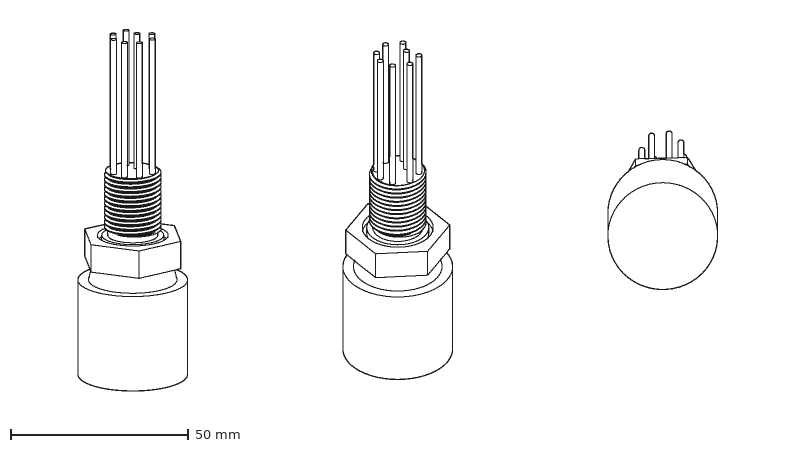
import cadquery as cq
import math

body_diameter = 31.0
body_height = 28.0

shoulder_bottom_diameter = 25.0
shoulder_top_diameter = 22.0
shoulder_bulge = 0.12

hex_bottom = 33.1
hex_top = 41.2
hex_across_flats = 25.5
groove_outer_diameter = 20.0
groove_inner_diameter = 17.5
groove_depth = 2.0

stem_diameter = 14.14
stem_top = 60.2
thread_bottom = 43.0
thread_diameter = 16.0
thread_pitch = 1.4
thread_root_width = 1.3
thread_crest_width = 0.2
thread_top_offset = 0.55
thread_overlap = 0.2

overall_height = 100.0
wire_diameter = 1.7
wire_circle_radius = 6.0
wire_spread_angle = 49.0
inner_wire_radius = 3.0
wire_embed = 1.0


def cylinder(diameter, bottom, top):
    return cq.Workplane("XY").workplane(offset=bottom).circle(diameter / 2).extrude(top - bottom)


def make_shoulder():
    bottom_radius = shoulder_bottom_diameter / 2
    top_radius = shoulder_top_diameter / 2
    middle = ((bottom_radius + top_radius) / 2 + shoulder_bulge, (body_height + hex_bottom) / 2)
    return (
        cq.Workplane("XZ")
        .moveTo(0, body_height)
        .lineTo(bottom_radius, body_height)
        .threePointArc(middle, (top_radius, hex_bottom))
        .lineTo(0, hex_bottom)
        .close()
        .revolve(360, (0, 0, 0), (0, 1, 0))
    )


def make_hexagon():
    across_corners = hex_across_flats / math.cos(math.radians(30))
    hexagon = (
        cq.Workplane("XY")
        .workplane(offset=hex_bottom)
        .polygon(6, across_corners)
        .extrude(hex_top - hex_bottom)
    )
    groove_floor = hex_top - groove_depth
    groove = cylinder(groove_outer_diameter, groove_floor, hex_top)
    groove = groove.cut(cylinder(groove_inner_diameter, groove_floor, hex_top))
    return hexagon.cut(groove)


def make_threaded_stem():
    """Stem with a right-hand helical ridge, cut flat at both ends of the threaded length."""
    root_radius = stem_diameter / 2 - thread_overlap
    crest_radius = thread_diameter / 2
    ridge_end = stem_top - thread_top_offset + thread_pitch
    turns = math.ceil((ridge_end - thread_bottom) / thread_pitch) + 1
    ridge_start = ridge_end - turns * thread_pitch
    helix = cq.Wire.makeHelix(thread_pitch, turns * thread_pitch, root_radius)
    helix = helix.translate(cq.Vector(0, 0, ridge_start))
    profile = [
        (root_radius, ridge_start - thread_root_width / 2),
        (crest_radius, ridge_start - thread_crest_width / 2),
        (crest_radius, ridge_start + thread_crest_width / 2),
        (root_radius, ridge_start + thread_root_width / 2),
    ]
    ridge = cq.Workplane("XZ").polyline(profile).close().sweep(cq.Workplane(helix), isFrenet=True)

    core = cylinder(stem_diameter, ridge_start - thread_pitch, ridge_end + thread_pitch)
    trim = cylinder(2 * thread_diameter, thread_bottom, stem_top)
    return core.union(ridge).intersect(trim)


def wire_positions():
    """Seven wires on the outer circle and one nearer the axis."""
    outer_angles = [0, 180, 270]
    for side in (0, 180):
        outer_angles += [side - wire_spread_angle, side + wire_spread_angle]
    positions = [(0, inner_wire_radius)]
    for angle in outer_angles:
        turn = math.radians(angle)
        positions.append((wire_circle_radius * math.cos(turn), wire_circle_radius * math.sin(turn)))
    return positions


def make_wires():
    return (
        cq.Workplane("XY")
        .workplane(offset=stem_top - wire_embed)
        .pushPoints(wire_positions())
        .circle(wire_diameter / 2)
        .extrude(overall_height - stem_top + wire_embed)
    )


body = cylinder(body_diameter, 0, body_height)
neck = cylinder(stem_diameter, hex_bottom, thread_bottom)
result = body.union(make_shoulder()).union(make_hexagon()).union(neck)
result = result.union(make_threaded_stem()).union(make_wires())